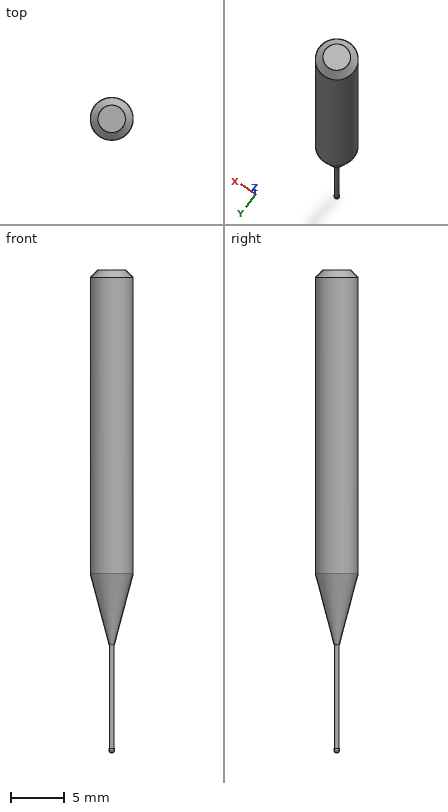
import cadquery as cq

total_length = 45.0
shank_radius = 2.002
end_chamfer = 0.7
shoulder_height = 16.7
neck_top_height = 10.05
taper_end_height = 10.15
taper_end_radius = 0.25
neck_radius = 0.22
ball_radius = 0.248
head_height = 0.4


def make_shank():
    """Chamfered shank, long taper, short lead-in cone and slender neck, revolved as one body."""
    profile = (
        cq.Workplane("XZ")
        .moveTo(0, head_height)
        .lineTo(neck_radius, head_height)
        .lineTo(neck_radius, neck_top_height)
        .lineTo(taper_end_radius, taper_end_height)
        .lineTo(shank_radius, shoulder_height)
        .lineTo(shank_radius, total_length - end_chamfer)
        .lineTo(shank_radius - end_chamfer, total_length)
        .lineTo(0, total_length)
        .close()
    )
    return profile.revolve(360, (0, 0, 0), (0, 1, 0))


def make_cutting_head():
    """Short cutting head with a hemispherical tip, flat where it meets the neck."""
    arc_middle = ball_radius * 0.5 ** 0.5
    profile = (
        cq.Workplane("XZ")
        .moveTo(0, 0)
        .threePointArc((arc_middle, ball_radius - arc_middle), (ball_radius, ball_radius))
        .lineTo(ball_radius, head_height)
        .lineTo(0, head_height)
        .close()
    )
    return profile.revolve(360, (0, 0, 0), (0, 1, 0))


shank = make_shank()
cutting_head = make_cutting_head()

result = cq.Compound.makeCompound([shank.val(), cutting_head.val()])